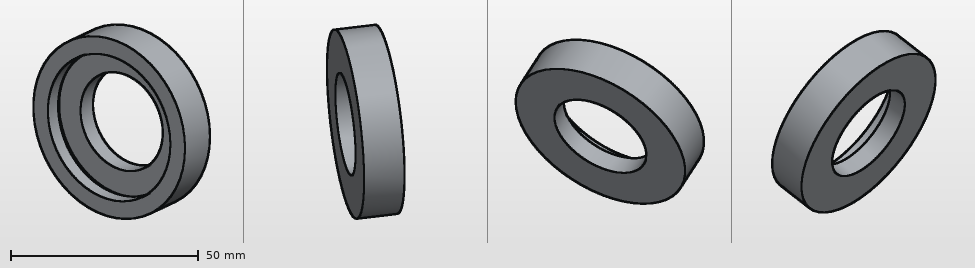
import cadquery as cq

outer_diameter = 50.8
width = 11.0
bore_diameter = 27.5
recess_diameter = 41.0
recess_depth = 5.5

undercut_width = 1.0
undercut_radial_depth = 0.4


def cylinder(diameter, start, length):
    """Solid cylinder along +Y, beginning at Y = start."""
    return cq.Workplane("XZ", origin=(0, start, 0)).circle(diameter / 2).extrude(-length)


front = -width / 2
recess_floor = front + recess_depth
undercut_diameter = recess_diameter + 2 * undercut_radial_depth

body = cylinder(outer_diameter, front, width)
bore = cylinder(bore_diameter, front, width)
recess = cylinder(recess_diameter, front, recess_depth)
undercut = cylinder(undercut_diameter, recess_floor - undercut_width, undercut_width)

result = body.cut(bore).cut(recess).cut(undercut)